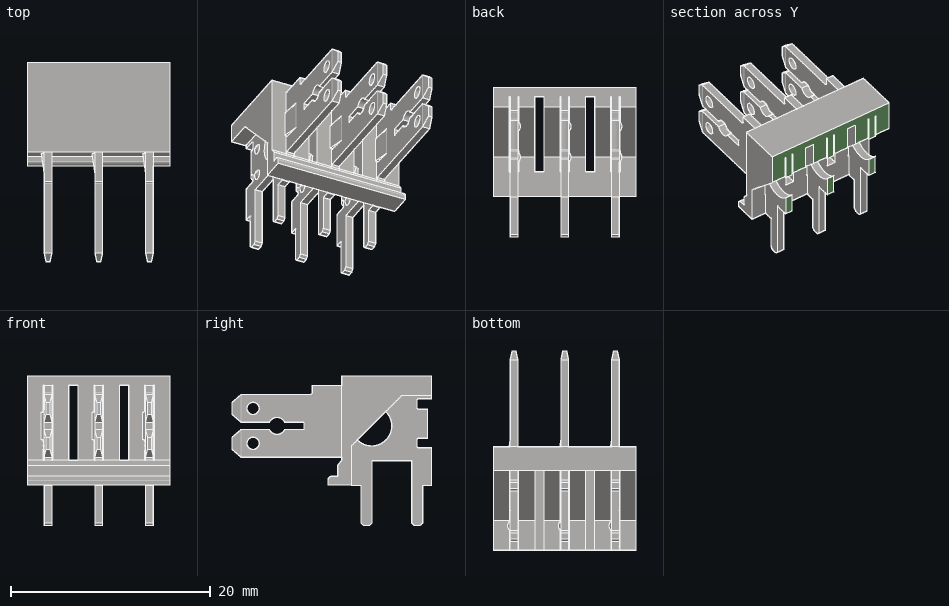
import cadquery as cq


terminal_count = 3
pitch = 5.08
slot_pitch = pitch / 2
slot_count = 2 * terminal_count - 1

housing_width = 14.28
housing_depth = 9.0
housing_top = 11.0
housing_bottom = 0.05
back_lip_height = 2.0
back_lip_depth = 3.0
front_wall = 1.0
slot_width = 0.92
slot_top = 10.05
slot_bottom = 2.55

ledge_step = 0.42
ledge_step_top = 2.02
lip_reach = 1.4
lip_top = 0.95
lip_radius = 0.45

plate_thickness = 0.8
shoulder_reach = 2.95
shoulder_radius = 0.2
window_diameter = 4.0
window_y = 3.0
arch_top = 2.48

tab_reach = 11.0
finger_height = 2.8
split_height = 0.7
split_start = 3.8
split_hole_diameter = 1.68
split_hole_reach = 6.48
finger_hole_diameter = 1.2
finger_hole_reach = 8.88
tip_length = 0.92
tip_height = 1.2
tip_thickness = 0.4
tab_axis_z = 5.98
tab_height = 2 * finger_height + split_height
tab_top = tab_axis_z + tab_height / 2
tab_bottom = tab_axis_z - tab_height / 2
finger_offset = (finger_height + split_height) / 2

leg_length = 4.0
leg_width = 1.12
leg_spacing = pitch
front_leg_y = 2.48
leg_chamfer = 0.25

notch_y = 7.55
notch_radius = 0.15
upper_notch_top = 8.68
ear_top = 7.65
ear_bottom = 4.75
lower_notch_bottom = 3.8
ear_bend_y = 7.8
ear_bend_radius = plate_thickness

bump_diameter = 1.0
bump_height = 0.25
bump_y = 6.52
bump_levels = (7.08, 4.0)

barb_height = 0.28
barb_start = 0.08
barb_crest = 0.15
barb_length = 2.08
barb_crest_height = 2.68
barb_front_height = 2.98


def through_x(sketch, thickness):
    """Extrude a YZ sketch and centre the solid on X = 0."""
    return sketch.extrude(thickness).translate((-thickness / 2, 0, 0))


def block(x_size, y_min, y_max, z_min, z_max):
    """Box centred on X = 0 between the given Y and Z limits."""
    return (
        cq.Workplane("XY")
        .box(x_size, y_max - y_min, z_max - z_min, centered=(True, False, False))
        .translate((0, y_min, z_min))
    )


def pin(diameter, y, z, length):
    """Cylinder along X, centred on X = 0."""
    return through_x(cq.Workplane("YZ").center(y, z).circle(diameter / 2), length)


def make_housing():
    """Braced block with a ledge at its front and slots running through it along Y."""
    back_lip_bottom = housing_top - back_lip_height
    brace_start = housing_depth - back_lip_depth
    brace_end_z = back_lip_bottom - (brace_start - front_wall)
    outline = [
        (housing_depth, housing_top),
        (0, housing_top),
        (0, slot_bottom),
        (-ledge_step, ledge_step_top),
        (-ledge_step, lip_top),
        (-lip_reach, lip_top),
        (-lip_reach, housing_bottom),
        (front_wall, housing_bottom),
        (front_wall, brace_end_z),
        (brace_start, back_lip_bottom),
        (housing_depth, back_lip_bottom),
    ]
    body = through_x(cq.Workplane("YZ").polyline(outline).close(), housing_width)
    lip_edge = cq.selectors.NearestToPointSelector((0, -lip_reach, lip_top))
    body = body.edges(lip_edge).fillet(lip_radius)

    slot = block(slot_width, 0, housing_depth, slot_bottom, slot_top)
    for index in range(slot_count):
        slot_x = (index - (slot_count - 1) / 2) * slot_pitch
        body = body.cut(slot.translate((slot_x, 0, 0)))
    return body


def make_finger(axis_z):
    """One half of the split tab, tapered at its tip on all four sides."""
    tip_start = tip_length - tab_reach
    bottom = axis_z - finger_height / 2
    finger = block(plate_thickness, tip_start, 0, bottom, bottom + finger_height)
    tip = (
        cq.Workplane("XZ", origin=(0, tip_start, axis_z))
        .rect(plate_thickness, finger_height)
        .workplane(offset=tip_length)
        .rect(tip_thickness, tip_height)
        .loft()
    )
    hole = pin(finger_hole_diameter, -finger_hole_reach, axis_z, plate_thickness)
    return finger.union(tip).cut(hole)


def make_tab():
    """Two fingers joined at their root, with a round relief in the split."""
    split_bottom = tab_axis_z - split_height / 2
    split_top = tab_axis_z + split_height / 2
    tab = block(plate_thickness, -split_start, 0, split_bottom, split_top)
    for side in (-1, 1):
        tab = tab.union(make_finger(tab_axis_z + side * finger_offset))
    return tab.cut(pin(split_hole_diameter, -split_hole_reach, tab_axis_z, plate_thickness))


def make_shoulder():
    """Raised root of the tab with a rounded inner corner at its step."""
    sketch = (
        cq.Workplane("YZ")
        .moveTo(0, tab_bottom)
        .lineTo(0, slot_top)
        .lineTo(-shoulder_reach, slot_top)
        .lineTo(-shoulder_reach, tab_top + shoulder_radius)
        .radiusArc((-shoulder_reach - shoulder_radius, tab_top), shoulder_radius)
        .lineTo(-shoulder_reach - shoulder_radius, tab_bottom)
        .close()
    )
    return through_x(sketch, plate_thickness)


def make_leg(axis_y):
    near_side = axis_y - leg_width / 2
    leg = block(plate_thickness, near_side, near_side + leg_width, -leg_length, arch_top)
    return leg.faces("<Z").edges("|X").chamfer(leg_chamfer)


def make_notch(z_min, z_max):
    notch = block(plate_thickness, notch_y, housing_depth, z_min, z_max)
    return notch.faces("<Y").edges("|X").fillet(notch_radius)


def make_ear_bend():
    """Quarter cylinder that rounds the ear over from the -X face to the +X face."""
    ear_height = ear_top - ear_bottom
    bend = (
        cq.Workplane("XY", origin=(plate_thickness / 2, ear_bend_y, ear_bottom))
        .circle(ear_bend_radius)
        .extrude(ear_height)
    )
    return bend.intersect(block(plate_thickness, ear_bend_y, housing_depth, ear_bottom, ear_top))


def make_plate():
    """Part of the terminal inside and behind the housing."""
    back_leg_y = front_leg_y + leg_spacing
    plate = block(plate_thickness, 0, housing_depth, slot_bottom, slot_top)
    plate = plate.union(block(plate_thickness, front_wall, housing_depth, 0, slot_bottom))
    arch_front = front_leg_y + leg_width / 2
    arch_back = back_leg_y - leg_width / 2
    plate = plate.cut(block(plate_thickness, arch_front, arch_back, 0, arch_top))
    for leg_y in (front_leg_y, back_leg_y):
        plate = plate.union(make_leg(leg_y))

    plate = plate.cut(make_notch(ear_top, upper_notch_top))
    plate = plate.cut(make_notch(lower_notch_bottom, ear_bottom))
    plate = plate.cut(block(plate_thickness, ear_bend_y, housing_depth, ear_bottom, ear_top))
    plate = plate.union(make_ear_bend())
    return plate.cut(pin(window_diameter, window_y, tab_axis_z, plate_thickness))


def make_bump(z):
    """Spherical cap standing on the -X face of the plate."""
    base_radius = bump_diameter / 2
    sphere_radius = (base_radius ** 2 + bump_height ** 2) / (2 * bump_height)
    face_x = -plate_thickness / 2
    cap_outline = (
        cq.Workplane("XY")
        .lineTo(face_x - bump_height, 0)
        .radiusArc((face_x, base_radius), sphere_radius)
        .lineTo(0, base_radius)
        .close()
    )
    cap = cap_outline.revolve(360, (0, 0, 0), (1, 0, 0))
    return cap.translate((0, bump_y, z))


def make_barb():
    """Wedge on the -X face: steep towards the housing, long ramp towards the tab."""
    face_x = -plate_thickness / 2
    wedge = (
        cq.Workplane("XY", origin=(0, 0, tab_axis_z))
        .moveTo(0, -barb_start)
        .lineTo(face_x, -barb_start)
        .lineTo(face_x - barb_height, -barb_crest)
        .lineTo(face_x, -barb_length)
        .lineTo(0, -barb_length)
        .close()
        .extrude(barb_front_height / 2, both=True)
    )
    side_taper = (
        cq.Workplane("YZ", origin=(0, 0, tab_axis_z))
        .moveTo(0, -barb_crest_height / 2)
        .lineTo(0, barb_crest_height / 2)
        .lineTo(-barb_length, barb_front_height / 2)
        .lineTo(-barb_length, -barb_front_height / 2)
        .close()
    )
    return wedge.intersect(through_x(side_taper, plate_thickness + 2 * barb_height))


def make_terminal():
    terminal = make_plate().union(make_shoulder()).union(make_tab()).union(make_barb())
    for z in bump_levels:
        terminal = terminal.union(make_bump(z))
    return terminal


result = make_housing()
terminal = make_terminal()
for index in range(terminal_count):
    terminal_x = (index - (terminal_count - 1) / 2) * pitch
    result = result.union(terminal.translate((terminal_x, 0, 0)))